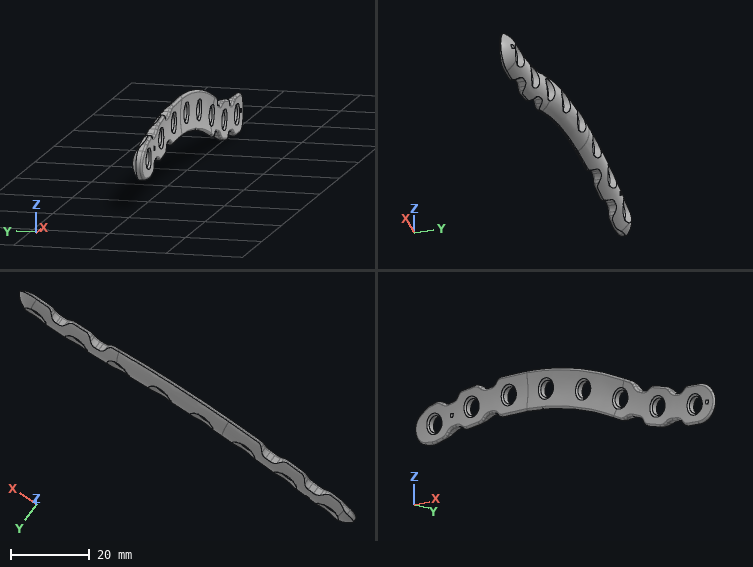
import cadquery as cq
import math


LENGTH = 105.0
HEIGHT = 3.9

LEFT_RADIUS = 131.3
MIDDLE_RADIUS = 86.1
RIGHT_RADIUS = 70.4
MIDDLE_SWEEP = 22.0

HOLE_COUNT = 8
HOLE_PITCH = 13.0
FIRST_HOLE_X = -32.8
HOLE_RADIUS = 2.2
FRONT_SINK_DEPTH = 0.4
BACK_SINK_DEPTH = 1.4

PIN_RADIUS = 0.5
LEFT_PIN_X = -26.7
RIGHT_PIN_X = 62.7

HALF_WIDTH = 5.3
WAIST_HALF_WIDTH = 3.5
LOBE_RADIUS = 6.0
WAIST_FILLET = 2.3
WAIST_REACH = 5.3
LOBES = (0, 1, 2, 5, 6, 7)
WAISTS = (0, 1, 5, 6)
LEFT_END_RADIUS = 4.4
LEFT_END_X = -35.3
RIGHT_END_X = LEFT_END_X - LEFT_END_RADIUS + LENGTH - HALF_WIDTH

BACK_RADIUS = 6.1
FRONT_RADIUS = 25.2
EDGE_FILLET = 0.5

CLIP_HALF_WIDTH = 8.4
SLAB_REACH = 2 * HEIGHT
SEAM_REACH = 1.0

FRONT_HOLLOW = FRONT_RADIUS - math.sqrt(FRONT_RADIUS**2 - (HALF_WIDTH - EDGE_FILLET) ** 2)
HOLES = [FIRST_HOLE_X + i * HOLE_PITCH for i in range(HOLE_COUNT)]
JOINT_ANGLE = math.radians(MIDDLE_SWEEP)
JOINT_X = MIDDLE_RADIUS * math.sin(JOINT_ANGLE)
RIGHT_CENTRE_X = (MIDDLE_RADIUS + RIGHT_RADIUS) * math.sin(JOINT_ANGLE)
RIGHT_CENTRE_Z = (MIDDLE_RADIUS + RIGHT_RADIUS) * math.cos(JOINT_ANGLE) - MIDDLE_RADIUS
LEFT_CENTRE = (0, -LEFT_RADIUS)
MIDDLE_CENTRE = (0, -MIDDLE_RADIUS)
RIGHT_CENTRE = (RIGHT_CENTRE_X, RIGHT_CENTRE_Z)


def centreline_z(x):
    """Height of the centreline at a given X."""
    if x < 0:
        return math.sqrt(LEFT_RADIUS**2 - x**2) - LEFT_RADIUS
    if x < JOINT_X:
        return math.sqrt(MIDDLE_RADIUS**2 - x**2) - MIDDLE_RADIUS
    return RIGHT_CENTRE_Z - math.sqrt(RIGHT_RADIUS**2 - (x - RIGHT_CENTRE_X) ** 2)


def heading(x):
    """Slope angle of the centreline at a given X, in radians."""
    if x < 0:
        return math.asin(-x / LEFT_RADIUS)
    if x < JOINT_X:
        return math.asin(-x / MIDDLE_RADIUS)
    return math.asin((x - RIGHT_CENTRE_X) / RIGHT_RADIUS)


def back_plane(x=0, z=0):
    """Workplane facing +Y; its local x runs along -X and its local y along +Z."""
    return cq.Workplane(cq.Plane(origin=(x, 0, z), xDir=(-1, 0, 0), normal=(0, 1, 0)))


def disc(x, radius):
    """Disc through the whole plate, centred on the centreline."""
    return back_plane(x, centreline_z(x)).circle(radius).extrude(SLAB_REACH, both=True)


def sector(start_x, end_x, half_width):
    """Slab that follows one centreline arc between two X positions."""
    def point(x, offset):
        angle = heading(x)
        z = centreline_z(x) + offset * math.cos(angle)
        return (offset * math.sin(angle) - x, z)

    middle_x = (start_x + end_x) / 2
    low, high = -half_width, half_width
    return (
        back_plane()
        .moveTo(*point(start_x, low))
        .threePointArc(point(middle_x, low), point(end_x, low))
        .lineTo(*point(end_x, high))
        .threePointArc(point(middle_x, high), point(start_x, high))
        .close()
        .extrude(SLAB_REACH, both=True)
    )


def band(start_x, end_x, half_width):
    """Slab along all three arcs, its ends square to the centreline."""
    left = sector(start_x, 0, half_width)
    middle = sector(0, JOINT_X, half_width)
    return left.union(middle).union(sector(JOINT_X, end_x, half_width))


def left_end():
    """Rounded tip joined to the first lobe by the common tangents of the two circles."""
    dx = LEFT_END_X - FIRST_HOLE_X
    dz = centreline_z(LEFT_END_X) - centreline_z(FIRST_HOLE_X)
    along = math.atan2(dz, dx)
    lean = math.acos((HALF_WIDTH - LEFT_END_RADIUS) / math.hypot(dx, dz))

    def tangent_point(x, radius, side):
        angle = along + side * lean
        return (-x - radius * math.cos(angle), centreline_z(x) + radius * math.sin(angle))

    flanks = (
        back_plane()
        .moveTo(*tangent_point(FIRST_HOLE_X, HALF_WIDTH, 1))
        .lineTo(*tangent_point(LEFT_END_X, LEFT_END_RADIUS, 1))
        .lineTo(*tangent_point(LEFT_END_X, LEFT_END_RADIUS, -1))
        .lineTo(*tangent_point(FIRST_HOLE_X, HALF_WIDTH, -1))
        .close()
        .extrude(SLAB_REACH, both=True)
    )
    return flanks.union(disc(LEFT_END_X, LEFT_END_RADIUS)).union(disc(FIRST_HOLE_X, HALF_WIDTH))


def right_end():
    """Half-round tip of full width, reached by a short run past the last hole."""
    return sector(HOLES[-1], RIGHT_END_X, HALF_WIDTH).union(disc(RIGHT_END_X, HALF_WIDTH))


def is_waist_edge(edge):
    """True for the upright edges of the four waists, which lie between neighbouring lobes."""
    place = edge.Center()
    for i in WAISTS:
        x = (HOLES[i] + HOLES[i + 1]) / 2
        angle = heading(x)
        across = place.z - centreline_z(x)
        along = (place.x - x) * math.cos(angle) + across * math.sin(angle)
        if abs(along) < WAIST_REACH:
            return True
    return False


def outline():
    """Slab with the plan shape of the plate: lobes joined by narrow waists, and a wide middle."""
    first, last = HOLES[0], HOLES[-1]
    shape = band(first, last, WAIST_HALF_WIDTH)
    shape = shape.union(band(HOLES[2], HOLES[5], HALF_WIDTH))
    for i in LOBES:
        shape = shape.union(disc(HOLES[i], LOBE_RADIUS))
    shape = shape.intersect(band(first, last, HALF_WIDTH))
    shape = shape.union(left_end()).union(right_end())
    waist_edges = shape.edges("|Y").filter(is_waist_edge)
    return waist_edges.fillet(WAIST_FILLET)


def clipped_tube(tube_radius, axis_y, start_x, end_x):
    """Round bar along the centreline; its axis lies at the given Y."""
    bar = cq.Workplane()
    stretches = [
        (LEFT_CENTRE, LEFT_RADIUS, start_x, 0),
        (MIDDLE_CENTRE, MIDDLE_RADIUS, 0, JOINT_X),
        (RIGHT_CENTRE, RIGHT_RADIUS, JOINT_X, end_x),
    ]
    for (centre_x, centre_z), radius, stretch_start, stretch_end in stretches:
        centre = cq.Vector(centre_x, axis_y, centre_z)
        torus = cq.Solid.makeTorus(radius, tube_radius, centre, cq.Vector(0, 1, 0))
        slab = sector(stretch_start, stretch_end, CLIP_HALF_WIDTH)
        bar = bar.add(cq.Workplane(torus).intersect(slab))
    return bar.combine()


def rounded_back():
    """Convex back along the band, closed by a dome over each end."""
    axis_y = HEIGHT - BACK_RADIUS
    back = clipped_tube(BACK_RADIUS, axis_y, LEFT_END_X, RIGHT_END_X)
    for x in (LEFT_END_X, RIGHT_END_X):
        dome = cq.Workplane("XY", origin=(x, axis_y, centreline_z(x))).sphere(BACK_RADIUS)
        back = back.union(dome)
    return back


def front_hollow():
    """Large round bar whose back surface is the hollow front of the plate."""
    axis_y = FRONT_HOLLOW - FRONT_RADIUS
    return clipped_tube(FRONT_RADIUS, axis_y, LEFT_END_X - CLIP_HALF_WIDTH, RIGHT_END_X + CLIP_HALF_WIDTH)


def is_front_rim_edge(edge):
    """True for the edges around the front face, leaving out the seams where two arcs meet."""
    place = edge.Center()
    for x in (0, JOINT_X):
        if math.hypot(place.x - x, place.z - centreline_z(x)) < SEAM_REACH:
            return False
    return edge.BoundingBox().ymax < FRONT_HOLLOW


def countersink(x, face_y, tip_direction, depth):
    """45 degree cone that opens at face_y and narrows to the hole radius."""
    mouth = cq.Vector(x, face_y, centreline_z(x))
    axis = cq.Vector(0, tip_direction, 0)
    return cq.Workplane(cq.Solid.makeCone(HOLE_RADIUS + depth, HOLE_RADIUS, depth, mouth, axis))


def screw_hole(x):
    """Through hole along Y with a countersink on each face."""
    front = countersink(x, 0, 1, FRONT_HOLLOW + FRONT_SINK_DEPTH)
    back = countersink(x, HEIGHT, -1, BACK_SINK_DEPTH)
    return disc(x, HOLE_RADIUS).union(front).union(back)


plate = outline().intersect(rounded_back()).cut(front_hollow())
plate = plate.edges().filter(is_front_rim_edge).fillet(EDGE_FILLET)
for hole_x in HOLES:
    plate = plate.cut(screw_hole(hole_x))
for pin_x in (LEFT_PIN_X, RIGHT_PIN_X):
    plate = plate.cut(disc(pin_x, PIN_RADIUS))

result = plate